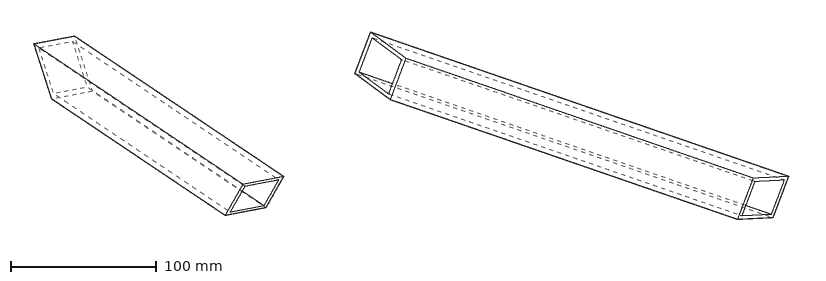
import cadquery as cq

length = 304.8
side = 31.7
wall = 2.7
end_inset = 26.0

half_length = length / 2
half_side = side / 2
bore_side = side - 2 * wall

bar = (
    cq.Workplane("XZ")
    .polyline([
        (-half_length, half_side),
        (half_length, half_side),
        (half_length - end_inset, -half_side),
        (-half_length + end_inset, -half_side),
    ])
    .close()
    .extrude(half_side, both=True)
)

bore = cq.Workplane("XY").box(length, bore_side, bore_side)

result = bar.cut(bore)